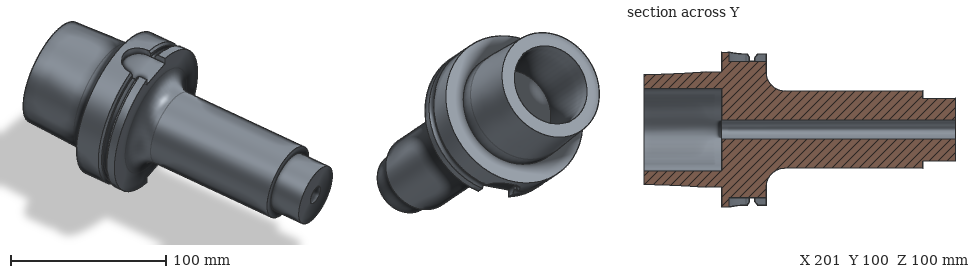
import cadquery as cq

overall_length = 201.0
taper_end = 40.0
flange_start = 50.0
flange_end = 79.0
body_end = 179.8

taper_small_radius = 35.5
taper_large_radius = 37.4
flange_radius = 50.0
body_radius = 25.1
tip_radius = 20.3
bore_radius = 26.5
through_hole_radius = 6.0
root_fillet_radius = 11.9

groove_floor_radius = 45.6
groove_floor_start = 68.0
groove_floor_end = 71.3
front_chamfer_width = 1.2
front_chamfer_depth = 2.0
rear_chamfer_width = 2.0
rear_chamfer_depth = 2.5

slot_width = 22.0
slot_start = 54.8
slot_floor_height = 44.0

bore_depth = flange_start


def make_turned_body():
    """Revolve the stepped outer profile about the X axis."""
    profile = (
        cq.Workplane("XY")
        .moveTo(0, 0)
        .lineTo(0, taper_small_radius)
        .lineTo(taper_end, taper_large_radius)
        .lineTo(flange_start, taper_large_radius)
        .lineTo(flange_start, flange_radius)
        .lineTo(flange_end, flange_radius)
        .lineTo(flange_end, body_radius + root_fillet_radius)
        .radiusArc((flange_end + root_fillet_radius, body_radius), -root_fillet_radius)
        .lineTo(body_end, body_radius)
        .lineTo(body_end, tip_radius)
        .lineTo(overall_length, tip_radius)
        .lineTo(overall_length, 0)
        .close()
    )
    return profile.revolve(360, (0, 0, 0), (1, 0, 0))


def make_groove():
    """Ring that cuts the groove, with a chamfer at the rim of each wall."""
    profile = cq.Workplane("XY").polyline([
        (groove_floor_start, groove_floor_radius),
        (groove_floor_start, flange_radius - front_chamfer_depth),
        (groove_floor_start - front_chamfer_width, flange_radius),
        (groove_floor_end + rear_chamfer_width, flange_radius),
        (groove_floor_end, flange_radius - rear_chamfer_depth),
        (groove_floor_end, groove_floor_radius),
    ]).close()
    return profile.revolve(360, (0, 0, 0), (1, 0, 0))


def make_drive_slot():
    """Round-ended, flat-floored slot cutter on the +Z side of the flange."""
    half_width = slot_width / 2
    round_end = slot_start + half_width
    return (
        cq.Workplane("XY")
        .workplane(offset=slot_floor_height)
        .moveTo(flange_end, -half_width)
        .lineTo(round_end, -half_width)
        .threePointArc((slot_start, 0), (round_end, half_width))
        .lineTo(flange_end, half_width)
        .close()
        .extrude(flange_radius - slot_floor_height)
    )


def make_axial_hole(radius, depth):
    """Cylinder along X starting at the open end of the shank."""
    return cq.Workplane("YZ").circle(radius).extrude(depth)


result = make_turned_body().cut(make_groove())
for slot_angle in (0, 180):
    slot = make_drive_slot().rotate((0, 0, 0), (1, 0, 0), slot_angle)
    result = result.cut(slot)
result = result.cut(make_axial_hole(bore_radius, bore_depth))
result = result.cut(make_axial_hole(through_hole_radius, overall_length))